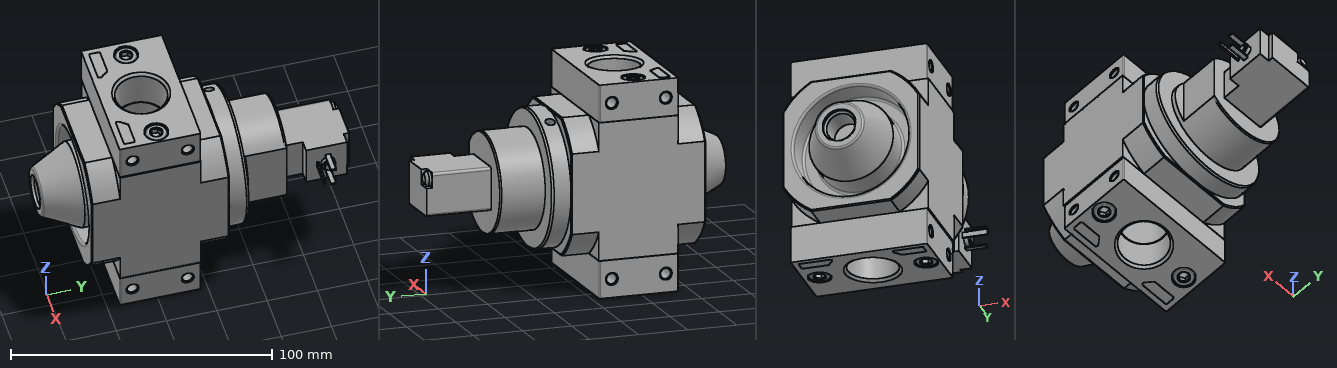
import cadquery as cq
import math


body_size = 55.0
body_half = body_size / 2
body_front = -27.5
body_back = 27.5
body_corner_radius = 31.8
body_edge_chamfer = 0.5

plate_depth = 32.2
plate_thickness = 15.0
plate_shift = -0.5
plate_corner_radius = 0.4
plate_mid_height = body_half + plate_thickness / 2
plate_top = body_half + plate_thickness

port_diameter = 19.5
plate_port_top_diameter = 20.3
plate_port_bottom_diameter = 20.0
port_chamfer = 1.1

screw_offset = 21.5
screw_head_diameter = 8.5
screw_head_height = 5.0
screw_head_sink = 0.2
screw_head_fillet = 0.5
screw_shank_diameter = 5.0
screw_shank_length = 17.1
socket_width = 4.0
socket_mouth_diameter = 5.0
socket_depth = 2.5
socket_tip_slope = 30
hexagon_turn = 30
counterbore_diameter = 9.3

side_hole_diameter = 4.1
side_hole_mouth_diameter = 5.0
side_hole_depth = 10.0
side_hole_offset = 11

label_inset = 2.5
label_inner_x = 10.1
label_slope_x = 12.2
label_front = -13.7
label_back = -9.3
label_nose_height = 1.2
label_corner_radius = 0.6
label_depth = 0.1

recess_diameter = 46.4
recess_floor = -16.0
recess_fillet = 1.0
recess_mouth_fillet = 1.0
nose_diameter = 33.9
nose_tip_diameter = 19.3
nose_tip = -42.1
nose_half_angle = 26
nose_tip_fillet = 1.0
nose_bore_diameter = 11.5
nose_counterbore_diameter = 13.3
nose_counterbore_depth = 1.3
nose_bore_depth = 12.2

ring_back = 35.3
ring_chamfer_length = 1.0
ring_chamfer_rise = 0.4
ring_hole_diameter = 3.8
ring_hole_depth = 4.9
ring_hole_y = 30.3
ring_hole_angle = 25

base_diameter = 40.0
base_back = 53.7
base_chamfer_length = 0.7
base_chamfer_rise = 0.2
base_flat_x = 15.4
base_lip = 1.8

coil_size_x = 20.0
coil_height = 17.3
coil_back = 79.9
coil_edge_fillet = 1.1
connector_x = 14.6
connector_front = 61.5
connector_back = 77.8

corner_pocket_x = 6.3
corner_pocket_z = 6.0
corner_pocket_depth = 2.3
coil_screw_diameter = 6.0
coil_screw_chamfer = 1.2

boss_y = 70.2
boss_diameter = 5.4
boss_length = 1.8
boss_tip_diameter = 3.8
boss_tip_length = 2.6
flat_blade_width = 2.2
flat_blade_length = 8.5
flat_blade_height = 3.8
blade_thickness = 0.7
blade_end_chamfer = 0.2
upright_blade_y = 66.1
upright_blade_length = 10.2
upright_blade_width = 2.2


def cylinder_y(diameter, start, end):
    """Cylinder on the main axis between two Y positions."""
    return cq.Workplane("XZ", origin=(0, start, 0)).circle(diameter / 2).extrude(start - end)


def revolved_y(points):
    """Solid of revolution about the main axis; each point is (radius, Y)."""
    return cq.Workplane("XY").polyline(points).close().revolve(360, (0, 0, 0), (0, 1, 0))


def chamfered_disc(diameter, start, end, chamfer_length, chamfer_rise):
    """Disc on the main axis, chamfered at its +Y end: chamfer_length along Y, chamfer_rise across."""
    radius = diameter / 2
    return revolved_y([
        (0, start),
        (radius, start),
        (radius, end - chamfer_length),
        (radius - chamfer_rise, end),
        (0, end),
    ])


def revolved_z(points, x=0):
    """Solid of revolution about an upright axis in the plane Y = 0; each point is (radius, Z)."""
    profile = cq.Workplane("XZ").polyline(points).close()
    return profile.revolve(360, (0, 0, 0), (0, 1, 0)).translate((x, 0, 0))


def box_between(low, high):
    """Box given by its lowest and highest corners."""
    size = [b - a for a, b in zip(low, high)]
    return cq.Workplane("XY").box(*size, centered=False).translate(low)


plate_left = plate_shift - body_half
plate_right = plate_shift + body_half

screw_head_top = plate_top - screw_head_sink
screw_head_bottom = screw_head_top - screw_head_height
screw_end = screw_head_bottom - screw_shank_length
screw_positions = [(x, upper) for x in (-screw_offset, screw_offset) for upper in (True, False)]


def on_side(shape, upper):
    """Keep a shape of the upper plate, or mirror it to the lower plate."""
    return shape if upper else shape.mirror("XY")


def make_shank_hole(x):
    """Hole through the upper plate and into the body that the screw shank fills."""
    radius = screw_shank_diameter / 2
    return revolved_z([(0, screw_end), (radius, screw_end), (radius, plate_top), (0, plate_top)], x)


def make_screw(x, upper):
    """Socket head screw at one X position."""
    shank_radius = screw_shank_diameter / 2
    head_radius = screw_head_diameter / 2
    screw = revolved_z([
        (0, screw_end),
        (shank_radius, screw_end),
        (shank_radius, screw_head_bottom),
        (head_radius, screw_head_bottom),
        (head_radius, screw_head_top),
        (0, screw_head_top),
    ], x)
    screw = screw.faces(">Z").edges().fillet(screw_head_fillet)

    corner_radius = socket_width / math.sqrt(3)
    socket_floor = screw_head_top - socket_depth
    socket_tip = socket_floor - corner_radius * math.tan(math.radians(socket_tip_slope))
    hexagon = (
        cq.Workplane("XY", origin=(x, 0, socket_tip))
        .transformed(rotate=(0, 0, hexagon_turn))
        .polygon(6, 2 * corner_radius)
        .extrude(screw_head_top - socket_tip)
    )
    drill = revolved_z([
        (0, screw_head_top),
        (corner_radius, screw_head_top),
        (corner_radius, socket_floor),
        (0, socket_tip),
    ], x)
    mouth_radius = socket_mouth_diameter / 2
    mouth = revolved_z([
        (0, screw_head_top),
        (mouth_radius, screw_head_top),
        (0, screw_head_top - mouth_radius),
    ], x)
    return on_side(screw.cut(hexagon.intersect(drill)).cut(mouth), upper)


nose_slope = math.tan(math.radians(nose_half_angle))
nose_radius = nose_diameter / 2
nose_tip_radius = nose_tip_diameter / 2
nose_cone_base = nose_tip + (nose_radius - nose_tip_radius) / nose_slope
nose_front_radius = nose_tip_radius + (body_front - nose_tip) * nose_slope


def make_block():
    """Rounded block with a square middle between the plates."""
    block = cq.Workplane("XY").box(body_size, body_back - body_front, body_size)
    block = block.intersect(cylinder_y(2 * body_corner_radius, body_front, body_back))
    block = block.faces("<Y or >Y").edges().chamfer(body_edge_chamfer)
    return block.union(cq.Workplane("XY").box(body_size, plate_depth, body_size))


def make_recess():
    """Ring-shaped recess around the nose, with a rounded mouth and rounded floor edges."""
    recess_radius = recess_diameter / 2
    mouth_radius = recess_radius + recess_mouth_fillet
    recess = (
        cq.Workplane("XY")
        .moveTo(nose_radius, recess_floor)
        .lineTo(recess_radius, recess_floor)
        .lineTo(recess_radius, body_front + recess_mouth_fillet)
        .radiusArc((mouth_radius, body_front), -recess_mouth_fillet)
        .lineTo(nose_front_radius, body_front)
        .lineTo(nose_radius, nose_cone_base)
        .close()
        .revolve(360, (0, 0, 0), (0, 1, 0))
    )
    return recess.faces(">Y").edges().fillet(recess_fillet)


def make_nose_cone():
    """Part of the nose that stands out of the body front."""
    cone = revolved_y([
        (0, nose_tip),
        (nose_tip_radius, nose_tip),
        (nose_front_radius, body_front),
        (0, body_front),
    ])
    return cone.faces("<Y").edges().fillet(nose_tip_fillet)


def make_nose_bore():
    """Blind bore in the nose tip with a short counterbore and a chamfer between them."""
    bore_radius = nose_bore_diameter / 2
    counterbore_radius = nose_counterbore_diameter / 2
    bore_floor = nose_tip + nose_bore_depth
    return revolved_y([
        (0, nose_tip),
        (counterbore_radius, nose_tip),
        (counterbore_radius, nose_tip + nose_counterbore_depth),
        (bore_radius, nose_tip + nose_counterbore_depth + counterbore_radius - bore_radius),
        (bore_radius, bore_floor),
        (0, bore_floor),
    ])


def make_body():
    """Valve body with its nose, cross bore and screw holes."""
    body = make_block().cut(make_recess()).union(make_nose_cone()).cut(make_nose_bore())
    body = body.cut(cq.Workplane("XY").circle(port_diameter / 2).extrude(body_half, both=True))
    for x, upper in screw_positions:
        body = body.cut(on_side(make_shank_hole(x), upper))
    return body


def make_label(outer_x, side):
    """Shallow label recess that narrows towards the port; side is the sign of its X."""
    floor = plate_top - label_depth
    label = (
        cq.Workplane("XY", origin=(0, 0, floor))
        .polyline([
            (outer_x, label_front),
            (side * label_inner_x, label_front),
            (side * label_inner_x, label_front + label_nose_height),
            (side * label_slope_x, label_back),
            (outer_x, label_back),
        ])
        .close()
        .extrude(label_depth)
    )
    return label.edges("|Z").fillet(label_corner_radius)


def make_side_hole(y):
    """Blind hole with a chamfered mouth in the -X end of the upper plate."""
    hole_radius = side_hole_diameter / 2
    mouth_radius = side_hole_mouth_diameter / 2
    hole = (
        cq.Workplane("XY")
        .polyline([
            (0, 0),
            (0, mouth_radius),
            (mouth_radius - hole_radius, hole_radius),
            (side_hole_depth, hole_radius),
            (side_hole_depth, 0),
        ])
        .close()
        .revolve(360, (0, 0, 0), (1, 0, 0))
    )
    return hole.translate((plate_left, y, plate_mid_height))


def make_plate(upper):
    """Flange plate with tapered port, screw counterbores, side holes and labels."""
    plate = box_between(
        (plate_left, -plate_depth / 2, body_half),
        (plate_right, plate_depth / 2, plate_top),
    )
    plate = plate.edges("|Z").fillet(plate_corner_radius)

    port_radius = plate_port_top_diameter / 2
    plate = plate.cut(revolved_z([
        (0, body_half),
        (plate_port_bottom_diameter / 2, body_half),
        (port_radius, plate_top - port_chamfer),
        (port_radius + port_chamfer, plate_top),
        (0, plate_top),
    ]))

    counterbore_radius = counterbore_diameter / 2
    for x in (-screw_offset, screw_offset):
        plate = plate.cut(make_shank_hole(x))
        plate = plate.cut(revolved_z([
            (0, screw_head_bottom),
            (counterbore_radius, screw_head_bottom),
            (counterbore_radius, plate_top),
            (0, plate_top),
        ], x))

    for y in (-side_hole_offset, side_hole_offset):
        left_hole = make_side_hole(y)
        right_hole = left_hole.mirror("YZ", (plate_shift, 0, 0))
        plate = plate.cut(left_hole).cut(right_hole)

    plate = plate.cut(make_label(plate_left + label_inset, -1.2))
    plate = plate.cut(make_label(plate_right - label_inset, 1.2))
    return on_side(plate, upper)


def make_ring():
    """Ring behind the body, with one radial hole for a hook spanner."""
    ring = chamfered_disc(body_size, body_back, ring_back, ring_chamfer_length, ring_chamfer_rise)
    hole = cq.Workplane("XY").circle(ring_hole_diameter / 2).extrude(ring_hole_depth)
    hole = hole.translate((0, ring_hole_y, body_half - ring_hole_depth))
    return ring.cut(hole.rotate((0, 0, 0), (0, 1, 0), -ring_hole_angle))


def make_base():
    """Round solenoid base with a flat on its +X side above a thin full lip."""
    base = chamfered_disc(base_diameter, ring_back, base_back, base_chamfer_length, base_chamfer_rise)
    return base.cut(box_between(
        (base_flat_x, ring_back + base_lip, -base_diameter / 2),
        (base_diameter / 2, base_back, base_diameter / 2),
    ))


coil_half_x = coil_size_x / 2
coil_half_height = coil_height / 2


def make_coil_housing():
    """Coil block with its connector step, and a screw head in a corner pocket."""
    housing = box_between(
        (-coil_half_x, base_back, -coil_half_height),
        (coil_half_x, coil_back, coil_half_height),
    )
    housing = housing.edges("<X and |Y").fillet(coil_edge_fillet)
    housing = housing.union(box_between(
        (coil_half_x, connector_front, -coil_half_height),
        (connector_x, connector_back, coil_half_height),
    ))
    housing = housing.cut(box_between(
        (-coil_half_x, coil_back - corner_pocket_depth, coil_half_height - corner_pocket_z),
        (-coil_half_x + corner_pocket_x, coil_back, coil_half_height),
    ))
    head = cylinder_y(coil_screw_diameter, coil_back - corner_pocket_depth, coil_back)
    head = head.faces(">Y").edges().chamfer(coil_screw_chamfer)
    return housing.union(head.translate((
        -coil_half_x + corner_pocket_x - coil_screw_diameter / 2,
        0,
        coil_half_height - corner_pocket_z + coil_screw_diameter / 2,
    )))


def make_contact(length, size_y, size_z, y, z):
    """Contact blade on the connector face, chamfered all round at its end."""
    blade = box_between(
        (connector_x, y - size_y / 2, z - size_z / 2),
        (connector_x + length, y + size_y / 2, z + size_z / 2),
    )
    return blade.faces(">X").edges().chamfer(blade_end_chamfer)


def make_coil():
    """Solenoid coil with its stepped boss and contacts."""
    coil = make_coil_housing()
    connector_face = cq.Workplane("YZ", origin=(connector_x, boss_y, 0))
    coil = coil.union(connector_face.circle(boss_diameter / 2).extrude(boss_length))
    coil = coil.union(connector_face.circle(boss_tip_diameter / 2).extrude(boss_tip_length))
    for z in (-flat_blade_height, flat_blade_height):
        coil = coil.union(make_contact(flat_blade_length, flat_blade_width, blade_thickness, boss_y, z))
    return coil.union(make_contact(
        upright_blade_length, blade_thickness, upright_blade_width, upright_blade_y, 0))


body = make_body()
plates = [make_plate(upper) for upper in (True, False)]
screws = [make_screw(x, upper) for x, upper in screw_positions]
ring = make_ring()
base = make_base()
coil = make_coil()

result = cq.Compound.makeCompound([
    body.val(),
    *[plate.val() for plate in plates],
    *[screw.val() for screw in screws],
    ring.val(),
    base.val(),
    coil.val(),
])